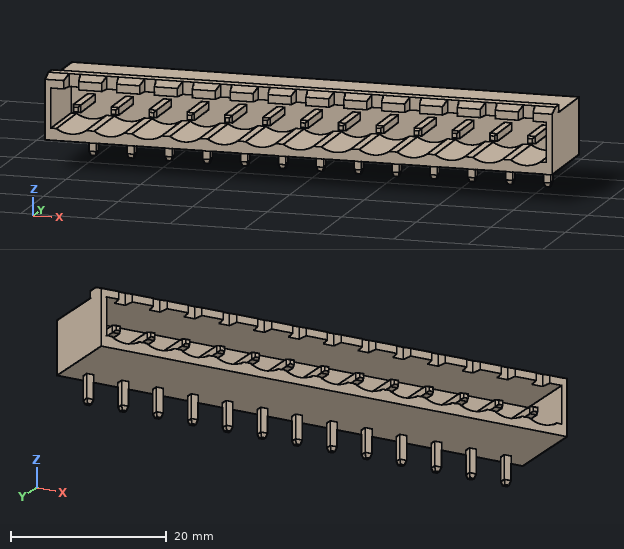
import cadquery as cq

POLES = 13
PITCH = 5.08
END_MARGIN = 3.54

LENGTH = (POLES - 1) * PITCH + 2 * END_MARGIN
DEPTH = 12.0
HEIGHT = 8.6
LIP_DEPTH = 3.0
LIP_RISE = 1.0
LIP_SLOPE_DEPTH = 1.5
LIP_SLOPE_DROP = 0.6

END_WALL = 0.8
BACK_WALL = 3.0
TOP_WALL = 1.7
FLOOR_CREST = 1.6
FLOOR_VALLEY = 1.0
SCALLOP_WIDTH = 4.0

SLOT_FRONT_WIDTH = 2.0
SLOT_BACK_WIDTH = 1.5

PIN_SIZE = 1.0
LEG_LENGTH = 4.0
LEG_SETBACK = 2.0
LEG_Y = DEPTH - LEG_SETBACK
BLADE_Z = 3.8
BLADE_TIP_Y = 2.0
TIP_LENGTH = 0.6
TIP_INSET = 0.2

POLE_POSITIONS = [(i - (POLES - 1) / 2) * PITCH for i in range(POLES)]


def make_housing():
    """Solid body with the raised, sloped strip on its top front edge."""
    deck = HEIGHT - LIP_RISE
    return (
        cq.Workplane("YZ", origin=(-LENGTH / 2, 0, 0))
        .polyline([
            (0, 0),
            (DEPTH, 0),
            (DEPTH, deck),
            (LIP_DEPTH, deck),
            (LIP_DEPTH, HEIGHT),
            (LIP_SLOPE_DEPTH, HEIGHT),
            (0, HEIGHT - LIP_SLOPE_DROP),
        ])
        .close()
        .extrude(LENGTH)
    )


def make_cavity():
    """Plug cavity whose floor has one round scallop below each contact."""
    half_length = LENGTH / 2 - END_WALL
    ceiling = HEIGHT - TOP_WALL
    outline = (
        cq.Workplane("XZ")
        .moveTo(-half_length, ceiling)
        .lineTo(-half_length, FLOOR_CREST)
    )
    for x in POLE_POSITIONS:
        outline = (
            outline
            .lineTo(x - SCALLOP_WIDTH / 2, FLOOR_CREST)
            .threePointArc((x, FLOOR_VALLEY), (x + SCALLOP_WIDTH / 2, FLOOR_CREST))
        )
    return (
        outline
        .lineTo(half_length, FLOOR_CREST)
        .lineTo(half_length, ceiling)
        .close()
        .extrude(-(DEPTH - BACK_WALL))
    )


def make_slot(x):
    """Coding slot cut down through the strip into the cavity."""
    front = SLOT_FRONT_WIDTH / 2
    back = SLOT_BACK_WIDTH / 2
    return (
        cq.Workplane("XY", origin=(x, 0, HEIGHT - TOP_WALL))
        .polyline([
            (-front, 0),
            (front, 0),
            (back, LIP_SLOPE_DEPTH),
            (-back, LIP_SLOPE_DEPTH),
        ])
        .close()
        .extrude(TOP_WALL)
    )


def make_bar(base, length):
    """Square bar grown from a base workplane, with a tapered tip."""
    shank_length = length - TIP_LENGTH
    tip_size = PIN_SIZE - 2 * TIP_INSET
    shank = base.rect(PIN_SIZE, PIN_SIZE).extrude(shank_length)
    tip = (
        base.workplane(offset=shank_length)
        .rect(PIN_SIZE, PIN_SIZE)
        .workplane(offset=TIP_LENGTH)
        .rect(tip_size, tip_size)
        .loft(combine=False)
    )
    return shank.union(tip)


def make_pin(x):
    """Contact with a horizontal blade and a downward solder leg."""
    blade_base = cq.Workplane("XZ", origin=(x, LEG_Y, BLADE_Z))
    blade = make_bar(blade_base, LEG_Y - BLADE_TIP_Y)
    leg_base = cq.Workplane("XY", origin=(x, LEG_Y, BLADE_Z)).transformed(rotate=(180, 0, 0))
    leg = make_bar(leg_base, BLADE_Z + LEG_LENGTH)
    return blade.union(leg)


result = make_housing().cut(make_cavity())
for pole_x in POLE_POSITIONS:
    result = result.cut(make_slot(pole_x)).union(make_pin(pole_x))